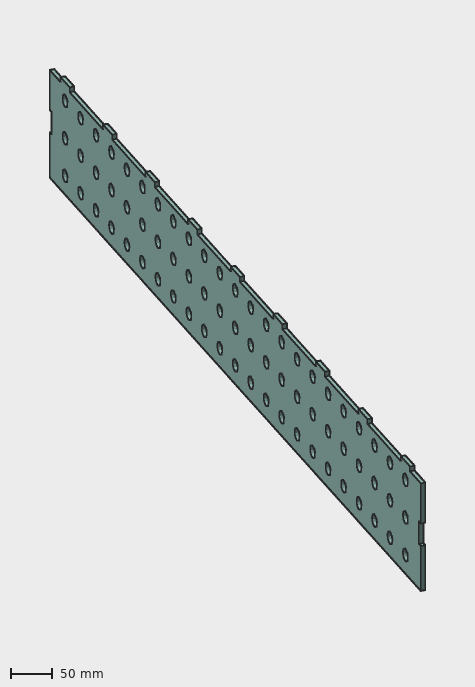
import cadquery as cq

LENGTH = 1200.0
THICKNESS = 6.0
TOTAL_HEIGHT = 150.0

TAB_HEIGHT = 6.5
TAB_WIDTH = 30.0
TAB_COUNT = 9

NOTCH_DEPTH = 6.0
NOTCH_HEIGHT = 30.0

HOLE_DIAMETER = 15.0
HOLE_COLUMNS = 23
HOLE_ROWS = 3
HOLE_PITCH = LENGTH / (HOLE_COLUMNS + 1)

PLATE_HEIGHT = TOTAL_HEIGHT - TAB_HEIGHT
PLATE_TOP = TOTAL_HEIGHT / 2 - TAB_HEIGHT
TAB_PITCH = HOLE_PITCH * (HOLE_COLUMNS - 1) / (TAB_COUNT - 1)


def make_plate():
    """Flat plate standing in the XZ plane."""
    plate = cq.Workplane("XY").box(LENGTH, THICKNESS, PLATE_HEIGHT)
    return plate.translate((0, 0, PLATE_TOP - PLATE_HEIGHT / 2))


def add_tabs(plate):
    """Evenly spaced rectangular tabs, as thick as the plate."""
    tab = cq.Workplane("XY").box(TAB_WIDTH, THICKNESS, TAB_HEIGHT)
    for index in range(TAB_COUNT):
        x = (index - (TAB_COUNT - 1) / 2) * TAB_PITCH
        plate = plate.union(tab.translate((x, 0, PLATE_TOP + TAB_HEIGHT / 2)))
    return plate


def cut_end_notches(plate):
    """One shallow rectangular notch in each end, level with the middle hole row."""
    notch = cq.Workplane("XY").box(2 * NOTCH_DEPTH, THICKNESS, NOTCH_HEIGHT)
    for end_x in (-LENGTH / 2, LENGTH / 2):
        plate = plate.cut(notch.translate((end_x, 0, 0)))
    return plate


def cut_holes(plate):
    """Square grid of round holes through the thickness."""
    holes = (
        cq.Workplane("XZ")
        .rarray(HOLE_PITCH, HOLE_PITCH, HOLE_COLUMNS, HOLE_ROWS)
        .circle(HOLE_DIAMETER / 2)
        .extrude(THICKNESS, both=True)
    )
    return plate.cut(holes)


result = cut_holes(cut_end_notches(add_tabs(make_plate())))